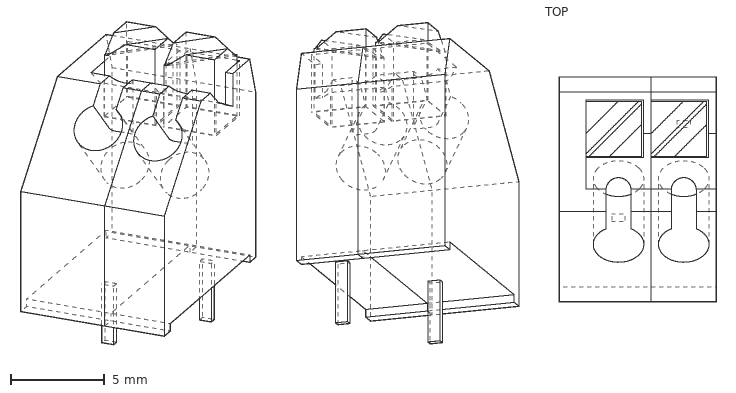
import cadquery as cq
import math


pole_count = 2
pole_width = 3.48
plate_thickness = 1.43
depth = 12.0
foot_bottom_z = 2.95
foot_height = 0.43
foot_length = 0.8
top_z = 14.72
entry_bevel = 4.82
rear_bevel_depth = 0.8
rear_bevel_height = 2.23
underside_z = foot_bottom_z + foot_height

ridge_rear_y = 6.03
valley_break_y = 7.09
valley_rear_y = 8.98
ridge_rear_drop = 0.94
valley_drop = ridge_rear_drop + (valley_rear_y - valley_break_y) / 2

bore_diameter = 2.7
bore_depth = 4.96
bore_mouth_y = 3.07
bore_mouth_z = top_z - entry_bevel + bore_mouth_y
slot_width = 1.34
slot_rear_center_y = 5.96
slot_front_y = 3.74
slot_depth = 3.5

button_height = 15.9
button_width = 2.95
button_depth = 2.93
button_front_y = 7.76
side_gap = 0.11
front_gap = 0.06
rear_gap = 0.1
pocket_depth = 3.18
pocket_floor_z = top_z - pocket_depth
pocket_width = button_width + side_gap
pocket_length = front_gap + button_depth + rear_gap

notch_depth = 0.81
notch_top_reach = 1.24
notch_floor_reach = 0.151

pin_width = 0.7
pin_thickness = 0.4
pin_rows_y = (4.5, 9.5)


def box(x, y, z, length_x, length_y, length_z):
    """Box given by its lowest corner and its lengths."""
    return cq.Workplane("XY", origin=(x, y, z)).box(length_x, length_y, length_z, centered=False)


def housing_slice(x, width):
    """Plain slice of the housing section."""
    outline = [
        (0, foot_bottom_z),
        (foot_length, foot_bottom_z),
        (foot_length, underside_z),
        (depth - foot_length, underside_z),
        (depth - foot_length, foot_bottom_z),
        (depth, foot_bottom_z),
        (depth, top_z - rear_bevel_height),
        (depth - rear_bevel_depth, top_z),
        (entry_bevel, top_z),
        (0, top_z - entry_bevel),
    ]
    return cq.Workplane("YZ", origin=(x, 0, 0)).polyline(outline).close().extrude(width)


def valley_cut(x):
    """Valley that falls from the ridge in two slopes to an upright rear wall."""
    outline = [
        (ridge_rear_y, top_z),
        (valley_break_y, top_z - ridge_rear_drop),
        (valley_rear_y, top_z - valley_drop),
        (valley_rear_y, top_z),
    ]
    return cq.Workplane("YZ", origin=(x, 0, 0)).polyline(outline).close().extrude(pole_width)


def wire_entry_cut(center_x):
    """Sloping bore with the round-ended upright slot above it."""
    mouth = cq.Plane(origin=(center_x, bore_mouth_y, bore_mouth_z), xDir=(1, 0, 0), normal=(0, 1, -1))
    bore = cq.Workplane(mouth).circle(bore_diameter / 2).extrude(bore_depth)
    slot_bottom_z = top_z - slot_depth
    slot_length = slot_rear_center_y - slot_front_y
    slot_end = (
        cq.Workplane("XY", origin=(center_x, slot_rear_center_y, slot_bottom_z))
        .circle(slot_width / 2)
        .extrude(slot_depth)
    )
    slot = box(center_x - slot_width / 2, slot_front_y, slot_bottom_z, slot_width, slot_length, slot_depth)
    return bore.union(slot).union(slot_end)


def button_pocket_cut(x):
    """Pocket around the button, open on the low X side of the pole."""
    pocket_front_y = button_front_y - front_gap
    return box(x, pocket_front_y, pocket_floor_z, pocket_width, pocket_length, pocket_depth)


def make_pole(x, pin_y):
    """One pole of the housing with its solder pin."""
    center_x = x + pole_width / 2
    pole = housing_slice(x, pole_width)
    pole = pole.cut(valley_cut(x)).cut(wire_entry_cut(center_x)).cut(button_pocket_cut(x))
    pin_x = center_x - pin_width / 2
    pin = box(pin_x, pin_y - pin_thickness / 2, 0, pin_width, pin_thickness, underside_z)
    return pole.union(pin)


def make_end_pole(x, pin_y):
    """First pole with the end plate that closes its low X side."""
    end_plate = housing_slice(x - plate_thickness, plate_thickness)
    return make_pole(x, pin_y).union(end_plate, clean=False)


def make_button(x):
    """Square push button with a tapered notch across its top diagonal."""
    button = box(x, button_front_y, pocket_floor_z, button_width, button_depth, button_height - pocket_floor_z)
    top_half_width = notch_top_reach / math.sqrt(2)
    floor_half_width = notch_floor_reach / math.sqrt(2)
    notch_outline = [
        (-top_half_width, 0),
        (-floor_half_width, -notch_depth),
        (floor_half_width, -notch_depth),
        (top_half_width, 0),
    ]
    button_center = (x + button_width / 2, button_front_y + button_depth / 2, button_height)
    across_diagonal = cq.Plane(origin=button_center, xDir=(1, -1, 0), normal=(-1, -1, 0))
    diagonal = math.hypot(button_width, button_depth)
    notch = cq.Workplane(across_diagonal).polyline(notch_outline).close().extrude(diagonal, both=True)
    return button.cut(notch)


pole_starts = [plate_thickness + i * pole_width for i in range(pole_count)]
pole_pins_y = [pin_rows_y[i % len(pin_rows_y)] for i in range(pole_count)]
end_pole = make_end_pole(pole_starts[0], pole_pins_y[0])
inner_poles = [make_pole(x, pin_y) for x, pin_y in zip(pole_starts[1:], pole_pins_y[1:])]
buttons = [make_button(x) for x in pole_starts]

result = cq.Compound.makeCompound([
    end_pole.solids().val(),
    *[pole.solids().val() for pole in inner_poles],
    *[button.solids().val() for button in buttons],
])